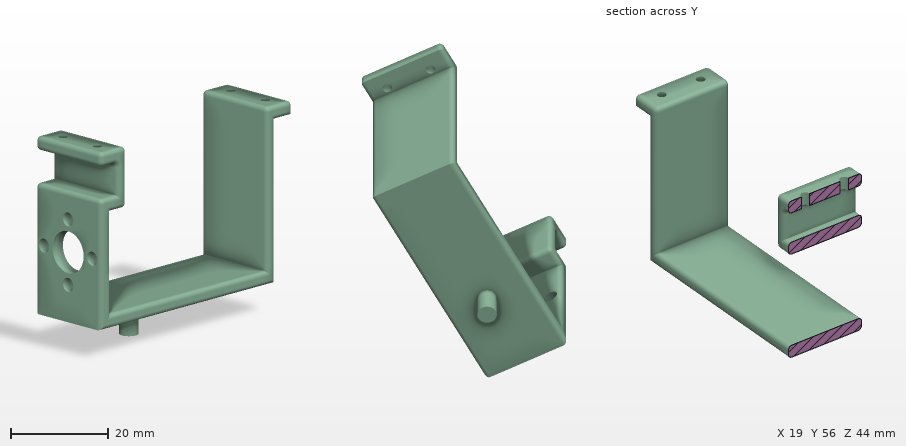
import cadquery as cq
import math

width = 19.0
total_depth = 56.0
frame_height = 38.0

floor_thickness = 3.0
front_wall_thickness = 3.0
back_wall_thickness = 2.5
neck_thickness = 2.5
shelf_thickness = 3.0
flange_thickness = 3.0

flange_length = 7.5
flange_hole_diameter = 2.0
flange_hole_spacing = 10.0
flange_hole_inset = 3.5

shelf_top = 28.0

bore_diameter = 9.0
bore_height = 15.0
screw_hole_diameter = 3.0
screw_circle_radius = 7.0
screw_hole_count = 4

pin_diameter = 4.0
pin_length = 6.0
pin_y = 17.75

edge_radius = 1.0
neck_corner_radius = 1.0

neck_inner_y = flange_length
neck_outer_y = flange_length - neck_thickness
back_inner_y = total_depth - flange_length
back_outer_y = back_inner_y + back_wall_thickness
flange_bottom = frame_height - flange_thickness
shelf_bottom = shelf_top - shelf_thickness


def round_cross_edge(body, y, z, radius):
    """Round the edge that runs along X through the profile point (y, z)."""
    edge = cq.selectors.NearestToPointSelector((0, y, z))
    return body.edges("|X").edges(edge).fillet(radius)


def make_frame():
    """Bent strip: front flange, neck, shelf, front wall, floor, back wall and back flange."""
    profile = [
        (0, 0),
        (back_outer_y, 0),
        (back_outer_y, flange_bottom),
        (total_depth, flange_bottom),
        (total_depth, frame_height),
        (back_inner_y, frame_height),
        (back_inner_y, floor_thickness),
        (front_wall_thickness, floor_thickness),
        (front_wall_thickness, shelf_bottom),
        (neck_inner_y, shelf_bottom),
        (neck_inner_y, frame_height),
        (0, frame_height),
        (0, flange_bottom),
        (neck_outer_y, flange_bottom),
        (neck_outer_y, shelf_top),
        (0, shelf_top),
    ]
    body = cq.Workplane("YZ").polyline(profile).close().extrude(width / 2, both=True)

    body = round_cross_edge(body, neck_outer_y, flange_bottom, neck_corner_radius)
    outer_corners = [
        (0, shelf_top),
        (0, flange_bottom),
        (0, frame_height),
        (neck_inner_y, frame_height),
        (neck_inner_y, shelf_bottom),
        (back_inner_y, frame_height),
        (total_depth, frame_height),
    ]
    for y, z in outer_corners:
        body = round_cross_edge(body, y, z, edge_radius)

    return body.faces("<X or >X").edges().fillet(edge_radius)


def make_flange_holes():
    """Two vertical holes through each flange; the front pair also cuts the neck corner rounding."""
    depth = flange_thickness + neck_corner_radius
    half_spacing = flange_hole_spacing / 2
    places = [
        (x, y)
        for x in (-half_spacing, half_spacing)
        for y in (flange_hole_inset, total_depth - flange_hole_inset)
    ]
    return (
        cq.Workplane("XY", origin=(0, 0, frame_height))
        .pushPoints(places)
        .circle(flange_hole_diameter / 2)
        .extrude(-depth)
    )


def make_neck_corner_reliefs():
    """Notches in the neck corner rounding where the front flange holes run into it.

    Each notch is as wide as the hole is where the rounding starts. Its back is a
    steeper arc, tangent to the neck, that ends at the rear of the hole.
    """
    hole_radius = flange_hole_diameter / 2
    rounding_start_y = neck_outer_y - neck_corner_radius
    rounding_end_z = flange_bottom - neck_corner_radius
    hole_rear_y = flange_hole_inset + hole_radius
    half_width = math.sqrt(hole_radius**2 - (rounding_start_y - flange_hole_inset) ** 2)
    ledge = neck_outer_y - hole_rear_y
    back_radius = (ledge**2 + neck_corner_radius**2) / (2 * ledge)

    notch = (
        cq.Workplane("YZ")
        .moveTo(rounding_start_y, flange_bottom)
        .lineTo(rounding_start_y, rounding_end_z)
        .lineTo(neck_outer_y, rounding_end_z)
        .radiusArc((hole_rear_y, flange_bottom), -back_radius)
        .close()
        .extrude(half_width, both=True)
    )
    half_spacing = flange_hole_spacing / 2
    left_notch = notch.translate((-half_spacing, 0, 0))
    right_notch = notch.translate((half_spacing, 0, 0))
    return left_notch.union(right_notch)


def make_front_wall_holes():
    """Central bore with a ring of screw holes around it, through the front wall only."""
    center = cq.Workplane("XZ", origin=(0, 0, bore_height))
    bore = center.circle(bore_diameter / 2).extrude(-front_wall_thickness)
    screw_holes = (
        center.polarArray(screw_circle_radius, 0, 360, screw_hole_count)
        .circle(screw_hole_diameter / 2)
        .extrude(-front_wall_thickness)
    )
    return bore.union(screw_holes)


def make_pin():
    """Pivot pin hanging below the floor, rooted inside it."""
    return (
        cq.Workplane("XY", origin=(0, pin_y, -pin_length))
        .circle(pin_diameter / 2)
        .extrude(pin_length + floor_thickness / 2)
    )


result = (
    make_frame()
    .cut(make_flange_holes())
    .cut(make_neck_corner_reliefs())
    .cut(make_front_wall_holes())
    .union(make_pin())
)